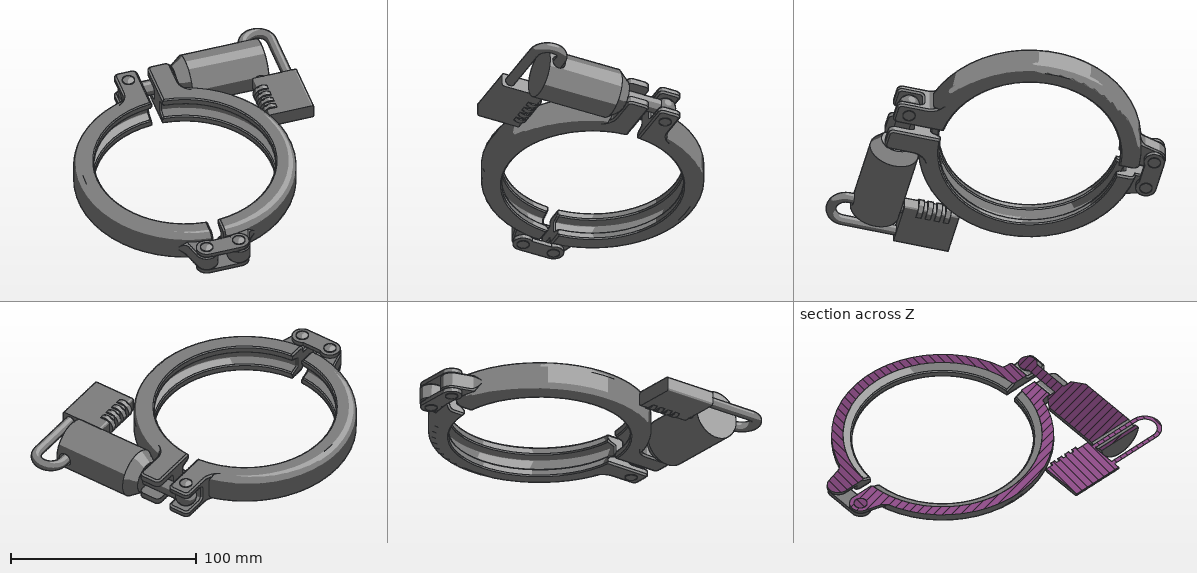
import cadquery as cq
import math


ring_outer_r = 59.9
ring_inner_r = 49.0
ring_height = 17.2
ring_edge_r = 3.9
half_gap = 3.0
edge_chamfer = 1.0

groove_wall_r = 53.5
groove_mouth_height = 8.4
groove_wall_height = 5.4
lip_chamfer = 0.7
groove_root_r = 0.5
groove_overrun = 1.7
groove_end_chamfer = 0.8

ear_left_x = -77.0
ear_outer_y = 15.8
ear_corner_r = 2.9
ear_blend_r = 8.4
ear_blend_rim_r = 57.2
ear_root_r = 50.8
fork_slot_height = 8.8
fork_slot_end_x = -63.3
fork_slot_corner_r = 2.0

hinge_right_x = 72.9
hinge_pin_y = 9.1
lug_r = hinge_pin_y - half_gap
hinge_pin_x = hinge_right_x - lug_r
lug_height = 9.3
lug_chamfer = 0.8
lug_root_x = 55.5
lug_root_y = 18.5
lug_blend_r = 6.7
link_r = 5.5
link_waist_x = 62.5
link_height = 13.8

pin_r = 3.4
pin_rise = 0.5
dome_height = 0.5

bolt_x = -69.5
bolt_eye_y = -9.6
bolt_eye_r = 5.7
bolt_rod_r = 4.0
barrel_r = 13.5
barrel_end_y = 65.6
barrel_shoulder_y = 22.5
barrel_nose_y = 16.0
barrel_nose_r = 8.8

lock_left_x = -55.2
lock_width = 30.3
lock_front_y = 55.9
lock_depth = 25.0
lock_height = 8.2
lock_edge_r = 1.2
shackle_r = 2.7
shackle_bend_r = 7.9
shackle_bend_x = -84.8
shackle_near_y = 60.4
shackle_hole_r = 3.7
dial_count = 4
dial_pitch = 5.0
dial_first_x = -47.6
dial_width = 2.9
dial_r = 5.0
dial_y = 58.7


def slab(sketch, height):
    """Extrude an XY outline symmetrically about z = 0."""
    return sketch.extrude(height / 2, both=True)


def on_circle(x, y, r, angle):
    """Point at the given angle on a circle about (x, y)."""
    return (x + r * math.cos(angle), y + r * math.sin(angle))


def half_ring():
    """Upper half of the ring: rounded outer rims, chamfered bore rims and end faces."""
    above_split = cq.Workplane("XY").box(3 * ring_outer_r, ring_outer_r, ring_height)
    above_split = above_split.translate((0, half_gap + ring_outer_r / 2, 0))
    ring = slab(cq.Workplane("XY").circle(ring_outer_r).circle(ring_inner_r), ring_height)
    smallest_circles = cq.selectors.RadiusNthSelector(0)
    largest_circles = cq.selectors.RadiusNthSelector(-1)
    ring = ring.edges(smallest_circles).chamfer(lip_chamfer)
    ring = ring.edges(largest_circles).fillet(ring_edge_r)
    ring = ring.intersect(above_split)
    return ring.faces("<Y").edges("|X").chamfer(edge_chamfer)


def groove_cutter():
    """V-groove with chamfered mouth and rounded root, revolved about Z."""
    mouth_z = groove_mouth_height / 2
    wall_z = groove_wall_height / 2
    clear_r = ring_inner_r - groove_overrun
    profile = [
        (clear_r, -mouth_z - lip_chamfer),
        (ring_inner_r, -mouth_z - lip_chamfer),
        (ring_inner_r + lip_chamfer, -mouth_z),
        (groove_wall_r, -wall_z),
        (groove_wall_r, wall_z),
        (ring_inner_r + lip_chamfer, mouth_z),
        (ring_inner_r, mouth_z + lip_chamfer),
        (clear_r, mouth_z + lip_chamfer),
    ]
    cutter = cq.Workplane("XZ").polyline(profile).close().revolve(360, (0, 0), (0, 1))
    widest = cq.selectors.RadiusNthSelector(-1)
    return cutter.edges(widest).fillet(groove_root_r)


def fork_slot():
    """Slot that lets the bolt swing through the ear, rounded at its closed end."""
    reach = fork_slot_end_x - ear_left_x
    slot = cq.Workplane("XY").box(2 * reach, 2 * ear_outer_y, fork_slot_height)
    slot = slot.translate((ear_left_x, ear_outer_y, 0))
    return slot.edges("|Y and >X").fillet(fork_slot_corner_r)


def ear():
    """Forked ear of the upper half, blended into the ring by a concave arc."""
    blend_y = ear_outer_y + ear_blend_r
    blend_x = -math.sqrt((ear_blend_rim_r + ear_blend_r) ** 2 - blend_y**2)
    rim_angle = math.atan2(-blend_y, -blend_x)
    middle_angle = (rim_angle - math.pi / 2) / 2
    blend_middle = on_circle(blend_x, blend_y, ear_blend_r, middle_angle)
    blend_end = on_circle(blend_x, blend_y, ear_blend_r, rim_angle)
    outline = (
        cq.Workplane("XY")
        .moveTo(ear_left_x, half_gap)
        .lineTo(ear_left_x, ear_outer_y)
        .lineTo(blend_x, ear_outer_y)
        .threePointArc(blend_middle, blend_end)
        .lineTo(-ear_root_r, blend_end[1])
        .lineTo(-ear_root_r, half_gap)
        .close()
    )
    body = slab(outline, ring_height).edges("|Z and <X").fillet(ear_corner_r)
    body = body.faces("|Z").edges().chamfer(edge_chamfer)
    return body.cut(fork_slot())


def chamfer_slot_mouth(ear_body):
    """Chamfer the slot's open edges on the outer, end and gap sides of an ear."""
    past_slot_x = fork_slot_end_x + edge_chamfer
    half_height = fork_slot_height / 2
    gap_side = cq.selectors.BoxSelector(
        (ear_left_x - edge_chamfer, half_gap - edge_chamfer, -half_height - edge_chamfer),
        (past_slot_x, half_gap + edge_chamfer, half_height + edge_chamfer),
    )
    return ear_body.edges(gap_side).chamfer(edge_chamfer)


def lug():
    """Hinge lug of the upper half, rounded about its pin."""
    dx = lug_root_x - hinge_pin_x
    dy = lug_root_y - hinge_pin_y
    tangent_angle = math.atan2(dy, dx) - math.acos(lug_r / math.hypot(dx, dy))
    tangent = on_circle(hinge_pin_x, hinge_pin_y, lug_r, tangent_angle)
    outline = (
        cq.Workplane("XY")
        .moveTo(lug_root_x, half_gap)
        .lineTo(hinge_pin_x, half_gap)
        .threePointArc((hinge_right_x, hinge_pin_y), tangent)
        .lineTo(lug_root_x, lug_root_y)
        .close()
    )
    return slab(outline, lug_height).faces("|Z").edges().chamfer(lug_chamfer)


def clamp_half(ear_body):
    """Half of the clamp above the split, with the given ear and no pin holes."""
    half = half_ring().union(ear_body).union(lug())
    lug_corner = cq.selectors.BoxSelector(
        (lug_root_x, lug_root_y - lug_blend_r, -lug_height / 2),
        (ring_outer_r, lug_root_y + lug_blend_r, lug_height / 2),
    )
    half = half.edges(lug_corner).edges("|Z").fillet(lug_blend_r)
    half = half.cut(groove_cutter())

    mouth_z = groove_mouth_height / 2 + lip_chamfer
    for side in (1, -1):
        groove_edges = cq.selectors.BoxSelector(
            (side * (ring_inner_r - lip_chamfer), half_gap - lip_chamfer, -mouth_z),
            (side * (groove_wall_r + lip_chamfer), half_gap + lip_chamfer, mouth_z),
        )
        half = half.faces("<Y").edges(groove_edges).chamfer(groove_end_chamfer)
    return half


def domed_pin(x, y, height):
    """Pin along Z with a shallow domed head above and below the given height."""
    shank_z = height / 2 + pin_rise
    tip_z = shank_z + dome_height
    dome_r = (pin_r**2 + dome_height**2) / (2 * dome_height)
    half_angle = math.asin(pin_r / dome_r) / 2
    rise_x = dome_r * math.sin(half_angle)
    rise_z = tip_z - dome_r + dome_r * math.cos(half_angle)
    pin = (
        cq.Workplane("XZ")
        .moveTo(0, -tip_z)
        .threePointArc((rise_x, -rise_z), (pin_r, -shank_z))
        .lineTo(pin_r, shank_z)
        .threePointArc((rise_x, rise_z), (0, tip_z))
        .close()
        .revolve(360, (0, 0), (0, 1))
    )
    return pin.translate((x, y, 0))


def link_plates():
    """Pair of hinge plates against the upper and lower faces of the lugs."""
    pin_spots = [(hinge_pin_x, hinge_pin_y), (hinge_pin_x, -hinge_pin_y)]
    ends = slab(cq.Workplane("XY").pushPoints(pin_spots).circle(link_r), link_height)
    waist_width = hinge_pin_x + link_r - link_waist_x
    waist = cq.Workplane("XY").box(waist_width, 2 * hinge_pin_y, link_height)
    waist = waist.translate((link_waist_x + waist_width / 2, 0, 0))
    lug_space = cq.Workplane("XY").rect(4 * hinge_right_x, 4 * hinge_pin_y)
    return ends.union(waist).cut(slab(lug_space, lug_height))


def upper_half():
    """Upper clamp half, with a hole in its lug for the hinge pin."""
    pin_hole = cq.Workplane("XY").center(hinge_pin_x, hinge_pin_y).circle(pin_r)
    return clamp_half(ear()).cut(slab(pin_hole, ring_height))


def lower_half():
    """Lower clamp half, forming one body with the hinge plates and both hinge pins."""
    half = clamp_half(chamfer_slot_mouth(ear())).mirror("XZ")
    bolt_hole = cq.Workplane("XY").center(bolt_x, bolt_eye_y).circle(pin_r)
    half = half.cut(slab(bolt_hole, 2 * ring_height)).union(link_plates())
    for side in (1, -1):
        half = half.union(domed_pin(hinge_pin_x, side * hinge_pin_y, link_height))
    return half


def lock_bolt():
    """Swing bolt: eye with its pivot pin, rod, and the barrel drilled for the shackle."""
    eye = cq.Workplane("XY").sphere(bolt_eye_r)
    eye = eye.intersect(cq.Workplane("XY").box(3 * bolt_eye_r, 3 * bolt_eye_r, fork_slot_height))
    eye = eye.translate((bolt_x, bolt_eye_y, 0))
    pin = domed_pin(bolt_x, bolt_eye_y, ring_height)
    rod_and_barrel = (
        cq.Workplane("XY")
        .moveTo(0, bolt_eye_y)
        .lineTo(bolt_rod_r, bolt_eye_y)
        .lineTo(bolt_rod_r, barrel_nose_y)
        .lineTo(barrel_nose_r, barrel_nose_y)
        .lineTo(barrel_r, barrel_shoulder_y)
        .lineTo(barrel_r, barrel_end_y)
        .lineTo(0, barrel_end_y)
        .close()
        .revolve(360, (0, 0), (0, 1))
        .translate((bolt_x, 0, 0))
    )
    shackle_hole = (
        cq.Workplane("YZ", origin=(bolt_x, 0, 0))
        .center(shackle_near_y, 0)
        .circle(shackle_hole_r)
        .extrude(2 * barrel_r, both=True)
    )
    return rod_and_barrel.cut(shackle_hole).union(eye).union(pin)


def padlock():
    """Combination padlock: case with dials and a bent shackle."""
    case = (
        cq.Workplane("XY")
        .box(lock_width, lock_depth, lock_height, centered=(False, False, True))
        .translate((lock_left_x, lock_front_y, 0))
        .edges("|X")
        .fillet(lock_edge_r)
    )
    shackle_far_y = shackle_near_y + 2 * shackle_bend_r
    shackle_path = (
        cq.Workplane("XY")
        .moveTo(lock_left_x, shackle_near_y)
        .lineTo(shackle_bend_x, shackle_near_y)
        .threePointArc(
            (shackle_bend_x - shackle_bend_r, shackle_near_y + shackle_bend_r),
            (shackle_bend_x, shackle_far_y),
        )
        .lineTo(lock_left_x, shackle_far_y)
    )
    shackle_start = cq.Workplane("YZ", origin=(lock_left_x, shackle_near_y, 0))
    lock = case.union(shackle_start.circle(shackle_r).sweep(shackle_path))
    for i in range(dial_count):
        dial_plane = cq.Workplane("YZ", origin=(dial_first_x + i * dial_pitch, dial_y, 0))
        lock = lock.union(dial_plane.circle(dial_r).extrude(dial_width))
    return lock


result = cq.Compound.makeCompound(
    [
        upper_half().val(),
        lower_half().val(),
        lock_bolt().val(),
        padlock().val(),
    ]
)